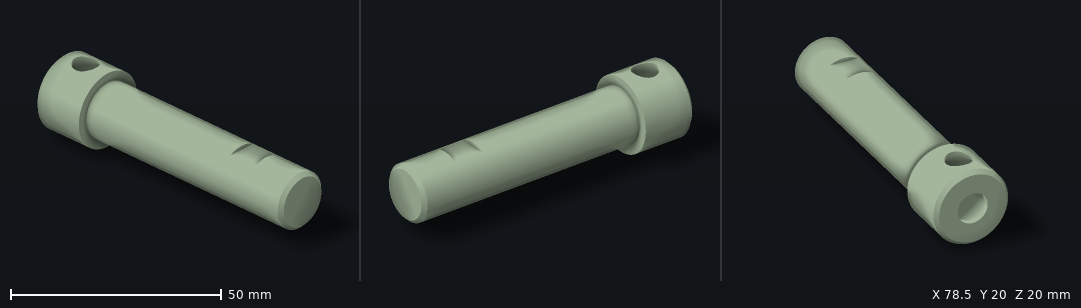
import cadquery as cq
import math

total_length = 78.5
head_diameter = 20.0
head_length = 14.5
shank_diameter = 15.0
chamfer = 1.0

bore_diameter = 8.0
bore_depth = head_length
drill_point_angle = 118.0

cross_hole_diameter = 6.8
cross_hole_x = head_length / 2

flat_start = 58.5
flat_length = 8.0
flat_depth = 1.0


def make_body():
    """Revolved head and shank, chamfered at both ends."""
    head_radius = head_diameter / 2
    shank_radius = shank_diameter / 2
    profile = [
        (0, 0),
        (0, head_radius - chamfer),
        (chamfer, head_radius),
        (head_length, head_radius),
        (head_length, shank_radius),
        (total_length - chamfer, shank_radius),
        (total_length, shank_radius - chamfer),
        (total_length, 0),
    ]
    return cq.Workplane("XY").polyline(profile).close().revolve(360, (0, 0), (1, 0))


def make_bore():
    """Blind axial hole ending in a drill-point cone."""
    radius = bore_diameter / 2
    tip_length = radius / math.tan(math.radians(drill_point_angle / 2))
    profile = [(0, 0), (0, radius), (bore_depth, radius), (bore_depth + tip_length, 0)]
    return cq.Workplane("XY").polyline(profile).close().revolve(360, (0, 0), (1, 0))


def make_cross_hole():
    """Radial hole from the top of the head down to the bore."""
    return (
        cq.Workplane("XY")
        .center(cross_hole_x, 0)
        .circle(cross_hole_diameter / 2)
        .extrude(head_diameter / 2)
    )


def make_flat():
    """Block that mills a shallow flat across the top of the shank."""
    floor_z = shank_diameter / 2 - flat_depth
    return (
        cq.Workplane("XY")
        .box(flat_length, shank_diameter, shank_diameter, centered=(False, True, False))
        .translate((flat_start, 0, floor_z))
    )


result = make_body().cut(make_bore()).cut(make_cross_hole()).cut(make_flat())